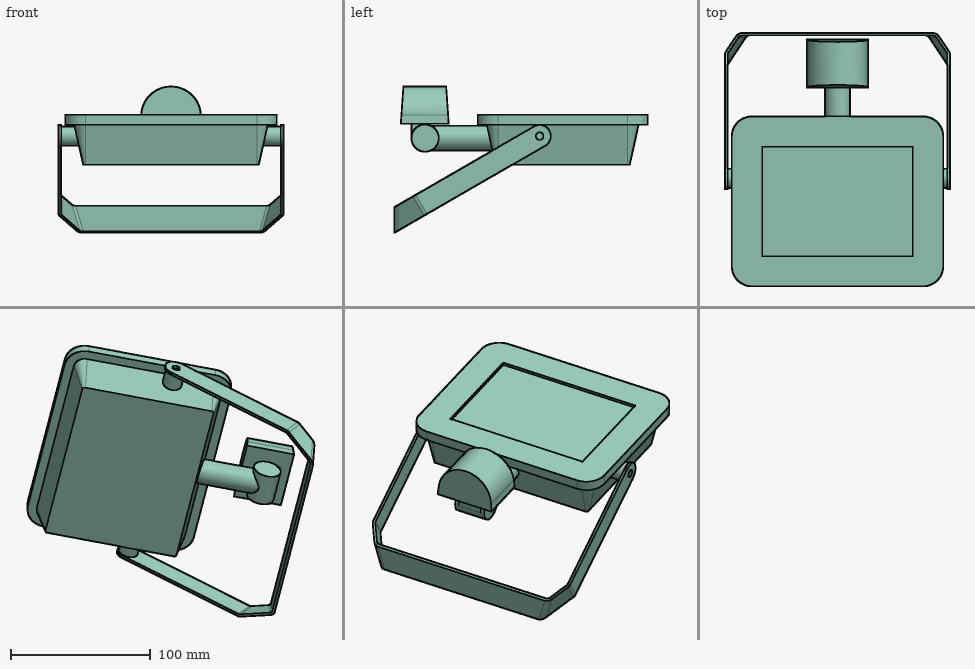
import cadquery as cq
import math


flange_width = 151.5
flange_length = 121.7
flange_thickness = 7.5
flange_corner_radius = 14.5
tub_inset = 6.5
tub_depth = 28.5
tub_taper = 12.5
window_margin = 21.8
window_depth = 2.0

pivot_y = 16.5
pivot_z = -8.0
boss_diameter = 14.0

bracket_width = 161.0
bracket_back_y = 181.4 - flange_length / 2
bracket_tilt = 30
bevel_angle = 30
strap_height = 16.0
strap_thickness = 2.0
web_thickness = 1.8
arm_length = 99.0
outer_bend_radius = 4.5
inner_bend_radius = outer_bend_radius - strap_thickness
pivot_hole_diameter = 5.5

stem_diameter = 18.0
stem_z = -9.5
knuckle_diameter = 19.5
knuckle_width = 24.0
post_width = 18.0
knuckle_y = 98.5
head_bottom_z = 0.7
head_shoulder_z = 7.5
head_top_z = 27.5
head_base_width = 44.0
head_shoulder_width = 42.8
head_length = 34.5
head_centre_y = 98.7
head_end_draft = 4

inner_face_x = bracket_width / 2 - strap_thickness


def cylinder_along_x(diameter, length, y, z):
    """Cylinder centred on the plane X = 0."""
    plane = cq.Workplane("YZ").center(y, z)
    return plane.circle(diameter / 2).extrude(length / 2, both=True)


def make_tub():
    """Tapered tub whose rounded corners narrow to the bottom."""
    return (
        cq.Workplane("XY")
        .sketch()
        .rect(flange_width - 2 * tub_inset, flange_length - 2 * tub_inset)
        .vertices()
        .fillet(flange_corner_radius - tub_inset)
        .finalize()
        .extrude(-tub_depth, taper=tub_taper)
    )


def make_flange():
    """Rounded plate with a shallow rectangular window recess on top."""
    plate = (
        cq.Workplane("XY")
        .rect(flange_width, flange_length)
        .extrude(flange_thickness)
        .edges("|Z")
        .fillet(flange_corner_radius)
    )
    window = (
        cq.Workplane("XY")
        .workplane(offset=flange_thickness - window_depth)
        .rect(flange_width - 2 * window_margin, flange_length - 2 * window_margin)
        .extrude(window_depth)
    )
    return plate.cut(window)


def make_sensor_head():
    """Domed head with flared lower sides and drafted end faces."""
    base = head_base_width / 2
    shoulder = head_shoulder_width / 2
    dome = (
        cq.Workplane("XZ", origin=(0, head_centre_y, 0))
        .moveTo(-base, head_bottom_z)
        .lineTo(-shoulder, head_shoulder_z)
        .threePointArc((0, head_top_z), (shoulder, head_shoulder_z))
        .lineTo(base, head_bottom_z)
        .close()
        .extrude(head_length, both=True)
    )
    drafted_block = (
        cq.Workplane("XY", origin=(0, head_centre_y, head_bottom_z))
        .rect(2 * head_base_width, head_length)
        .extrude(head_top_z - head_bottom_z, taper=head_end_draft)
    )
    return dome.intersect(drafted_block)


def make_sensor_mount():
    """Stem from the tub to a cross knuckle, with a block-shaped post behind it up to the head."""
    stem = (
        cq.Workplane("XZ", origin=(0, knuckle_y, stem_z))
        .circle(stem_diameter / 2)
        .extrude(knuckle_y)
    )
    knuckle = cylinder_along_x(knuckle_diameter, knuckle_width, knuckle_y, stem_z)
    post = cq.Workplane("XY").box(
        post_width, knuckle_diameter / 2, head_bottom_z - stem_z, centered=(True, False, False)
    )
    post = post.translate((0, knuckle_y, stem_z))
    return stem.union(knuckle).union(post)


def make_housing():
    bosses = cylinder_along_x(boss_diameter, 2 * inner_face_x, pivot_y, pivot_z)
    return (
        make_flange()
        .union(make_tub())
        .union(bosses)
        .union(make_sensor_mount())
        .union(make_sensor_head())
    )


def make_bracket_envelope(half_width, bevel_start, back_y, bend_radius):
    """Tilted prism with rounded arm ends, bevelled sides and an upright back face."""
    half_height = strap_height / 2
    bevel_length = half_width / math.tan(math.radians(bevel_angle))
    outline = (
        cq.Workplane("XY")
        .polyline([
            (-half_width, 0),
            (-half_width, bevel_start),
            (0, bevel_start + bevel_length),
            (half_width, bevel_start),
            (half_width, 0),
        ])
        .close()
        .extrude(half_height, both=True)
    )
    outline = outline.edges("|Z").edges("<X or >X").edges(">Y").fillet(bend_radius)
    arm_ends = cylinder_along_x(strap_height, 2 * half_width, 0, 0)
    prism = (
        outline.union(arm_ends)
        .rotate((0, 0, 0), (1, 0, 0), -bracket_tilt)
        .translate((0, pivot_y, pivot_z))
    )
    space_size = 2 * (arm_length + bevel_length)
    front_space = (
        cq.Workplane("XY")
        .box(space_size, space_size, space_size)
        .translate((0, back_y - space_size / 2, 0))
    )
    prism = prism.intersect(front_space)
    return prism.faces(">Y").edges("not |X").fillet(bend_radius)


def make_bracket():
    bevel_setback = strap_thickness * math.tan(math.radians(bevel_angle / 2))
    outer = make_bracket_envelope(
        bracket_width / 2, arm_length, bracket_back_y, outer_bend_radius
    )
    inner = make_bracket_envelope(
        inner_face_x, arm_length - bevel_setback, bracket_back_y - web_thickness, inner_bend_radius
    )
    pivot_holes = cylinder_along_x(pivot_hole_diameter, bracket_width, pivot_y, pivot_z)
    return outer.cut(inner).cut(pivot_holes)


housing = make_housing()
bracket = make_bracket()

result = cq.Compound.makeCompound([housing.val(), bracket.val()])